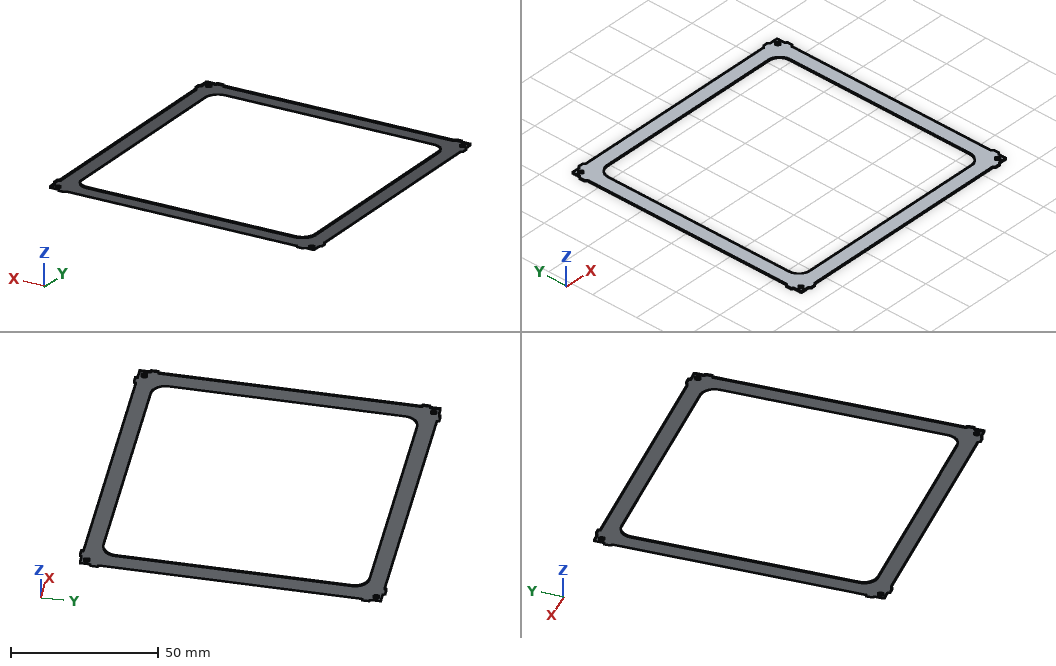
import cadquery as cq

OUTER_SIDE = 105.6
THICKNESS = 0.51

TAB_HEIGHT = 0.7
FRAME_SIDE = OUTER_SIDE - 2 * TAB_HEIGHT
WINDOW_SIDE = 92.1
WINDOW_RADIUS = 5.1

TAB_WIDTH = 2.5
TAB_OFFSET = 47.0
TAB_TIP_RADIUS = 0.2
TAB_ROOT_RADIUS = 0.5

HOLE_DIAMETER = 1.8
HOLE_SPACING = 100.1


def centred_plate(x_size, y_size):
    """Flat plate centred on the Z axis, with its underside at Z = 0."""
    return cq.Workplane("XY").rect(x_size, y_size).extrude(THICKNESS)


def make_tab_bar():
    """Bar along Y whose two ends form tabs, with rounded tips and flared roots."""
    flare_width = TAB_WIDTH + 2 * TAB_ROOT_RADIUS
    flare_length = FRAME_SIDE + 2 * TAB_ROOT_RADIUS
    bar = centred_plate(TAB_WIDTH, OUTER_SIDE).edges("|Z").fillet(TAB_TIP_RADIUS)
    flare = centred_plate(flare_width, flare_length)
    hollows = (
        cq.Workplane("XY")
        .rect(flare_width, flare_length, forConstruction=True)
        .vertices()
        .circle(TAB_ROOT_RADIUS)
        .extrude(THICKNESS)
    )
    return bar.union(flare.cut(hollows))


def add_tabs(frame):
    """Join bars spanning the frame, whose ends project as tabs on opposite sides."""
    for side in (-1, 1):
        for quarter_turn in (0, 90):
            bar = make_tab_bar().translate((side * TAB_OFFSET, 0, 0))
            frame = frame.union(bar.rotate((0, 0, 0), (0, 0, 1), quarter_turn))
    return frame


def make_window():
    return centred_plate(WINDOW_SIDE, WINDOW_SIDE).edges("|Z").fillet(WINDOW_RADIUS)


def make_holes():
    return (
        cq.Workplane("XY")
        .rect(HOLE_SPACING, HOLE_SPACING, forConstruction=True)
        .vertices()
        .circle(HOLE_DIAMETER / 2)
        .extrude(THICKNESS)
    )


frame = add_tabs(centred_plate(FRAME_SIDE, FRAME_SIDE))
result = frame.cut(make_window()).cut(make_holes())